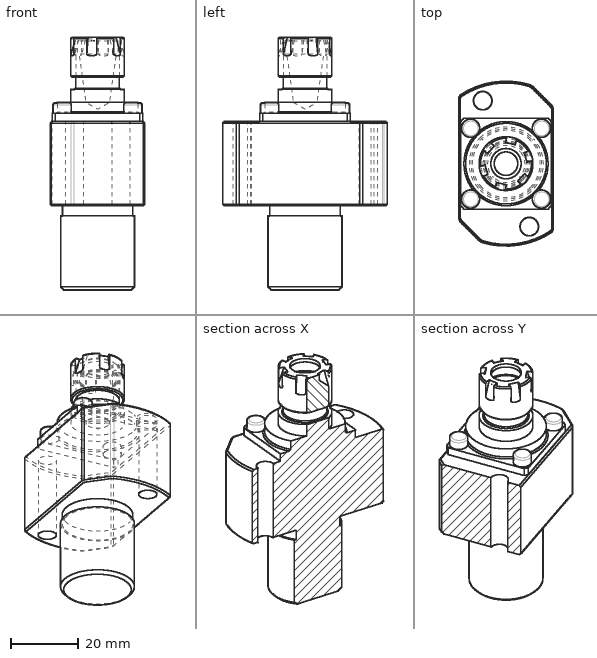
import cadquery as cq
import math

total_height = 75.2
shoulder_z = 22.0
block_bottom_z = 25.05
block_top_z = 50.15
plate_top_z = 52.65
screw_top_z = 55.65
disc_top_z = 55.9
collar_top_z = 59.7
nut_bottom_z = 63.3
neck_top_z = 70.3

shank_diameter = 22.0
undercut_diameter = 21.0
shank_chamfer = 1.0

block_width = 28.1
block_diameter = 49.0
corner_cut_sum = 30.9
block_chamfer = 0.5
mounting_hole_diameter = 5.4
mounting_hole_x = 6.9
mounting_hole_y = 18.7

plate_side = 27.0
plate_corner_chamfer = 1.0
screw_diameter = 5.4
screw_offset = 10.5
screw_fillet = 0.5

disc_diameter = 24.0
disc_flare = 0.5
disc_flare_height = 0.4
collar_diameter = 16.0
neck_diameter = 13.0
neck_flare = 0.4

seat_mouth_diameter = 11.05
seat_end_diameter = 7.0
seat_half_angle = math.radians(8)
drill_point_half_angle = math.radians(60)

nut_diameter = collar_diameter
nut_chamfer = 0.45
nut_mouth_diameter = 9.0
nut_lip_height = 1.1
nut_chamber_diameter = 12.2
slot_count = 6
slot_first_angle = 17.5
slot_width = 3.0
slot_depth = 5.6
slot_top_radius = 6.1


def revolve_profile(points):
    """Turn an outline of (radius, z) points around the Z axis."""
    return cq.Workplane("XZ").polyline(points).close().revolve(360, (0, 0), (0, 1))


def cylinder(diameter, bottom_z, top_z):
    return cq.Workplane("XY").workplane(offset=bottom_z).circle(diameter / 2).extrude(top_z - bottom_z)


def make_shank():
    main = cylinder(shank_diameter, 0, shoulder_z).faces("<Z").chamfer(shank_chamfer)
    return main.union(cylinder(undercut_diameter, shoulder_z, block_bottom_z))


def make_block():
    height = block_top_z - block_bottom_z
    base = cq.Workplane("XY").workplane(offset=block_bottom_z)
    flats = base.rect(block_width, block_diameter).extrude(height)
    strip_width = corner_cut_sum * math.sqrt(2)
    diagonal_strip = (
        base.transformed(rotate=(0, 0, 45)).rect(strip_width, 2 * block_diameter).extrude(height)
    )
    block = base.circle(block_diameter / 2).extrude(height).intersect(flats).intersect(diagonal_strip)
    block = block.edges().chamfer(block_chamfer)
    holes = (
        base.pushPoints([(-mounting_hole_x, mounting_hole_y), (mounting_hole_x, -mounting_hole_y)])
        .circle(mounting_hole_diameter / 2)
        .extrude(height)
    )
    return block.cut(holes)


def make_flange():
    plate = (
        cq.Workplane("XY")
        .workplane(offset=block_top_z)
        .rect(plate_side, plate_side)
        .extrude(plate_top_z - block_top_z)
        .edges("|Z")
        .chamfer(plate_corner_chamfer)
    )
    for x in (-screw_offset, screw_offset):
        for y in (-screw_offset, screw_offset):
            head = cylinder(screw_diameter, plate_top_z, screw_top_z).faces(">Z").edges().fillet(screw_fillet)
            plate = plate.union(head.translate((x, y, 0)))
    return plate


def make_nose():
    disc_radius = disc_diameter / 2
    collar_radius = collar_diameter / 2
    neck_radius = neck_diameter / 2
    return revolve_profile(
        [
            (0, plate_top_z),
            (disc_radius + disc_flare, plate_top_z),
            (disc_radius, plate_top_z + disc_flare_height),
            (disc_radius, disc_top_z),
            (collar_radius, disc_top_z),
            (collar_radius, collar_top_z),
            (neck_radius + neck_flare, collar_top_z),
            (neck_radius, collar_top_z + neck_flare),
            (neck_radius, neck_top_z),
            (0, neck_top_z),
        ]
    )


def make_collet_seat():
    mouth_radius = seat_mouth_diameter / 2
    end_radius = seat_end_diameter / 2
    end_z = neck_top_z - (mouth_radius - end_radius) / math.tan(seat_half_angle)
    tip_z = end_z - end_radius / math.tan(drill_point_half_angle)
    return revolve_profile([(0, tip_z), (end_radius, end_z), (mouth_radius, neck_top_z), (0, neck_top_z)])


def make_holder():
    holder = make_shank().union(make_block()).union(make_flange()).union(make_nose())
    return holder.cut(make_collet_seat())


def make_nut_bore():
    mouth_radius = nut_mouth_diameter / 2
    chamber_radius = nut_chamber_diameter / 2
    neck_radius = neck_diameter / 2
    lip_z = total_height - nut_lip_height
    return revolve_profile(
        [
            (0, nut_bottom_z),
            (neck_radius, nut_bottom_z),
            (neck_radius, neck_top_z),
            (chamber_radius, neck_top_z),
            (chamber_radius, lip_z),
            (mouth_radius, lip_z),
            (mouth_radius, total_height),
            (0, total_height),
        ]
    )


def make_spanner_slot():
    return (
        cq.Workplane("XZ")
        .polyline(
            [
                (slot_top_radius, total_height),
                (nut_diameter / 2, total_height - slot_depth),
                (nut_diameter / 2, total_height),
            ]
        )
        .close()
        .extrude(slot_width / 2, both=True)
    )


def make_nut():
    nut = cylinder(nut_diameter, nut_bottom_z, total_height).edges().chamfer(nut_chamfer)
    nut = nut.cut(make_nut_bore())
    slot = make_spanner_slot()
    for i in range(slot_count):
        angle = slot_first_angle + i * 360 / slot_count
        nut = nut.cut(slot.rotate((0, 0, 0), (0, 0, 1), angle))
    return nut


holder = make_holder()
nut = make_nut()

result = cq.Compound.makeCompound([holder.val(), nut.val()])